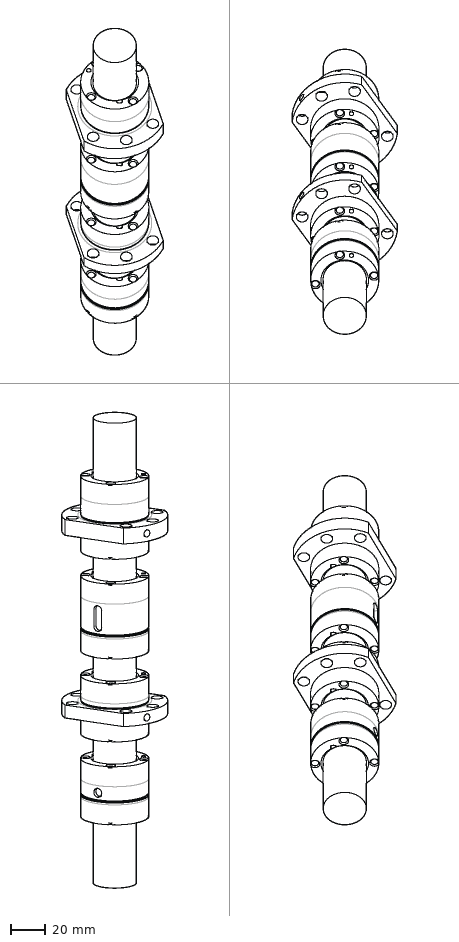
import cadquery as cq
import math

SHAFT_LENGTH = 280.0
SHAFT_RADIUS = 12.5

NUT_RADIUS = 20.0
LONG_NUT_LENGTH = 45.0
SHORT_NUT_LENGTH = 35.0
TOP_SHAFT_STUB = 35.0
BOTTOM_SHAFT_STUB = 40.0
NUT_LENGTHS = [LONG_NUT_LENGTH, LONG_NUT_LENGTH, SHORT_NUT_LENGTH, SHORT_NUT_LENGTH]
FREE_SHAFT_LENGTH = SHAFT_LENGTH - TOP_SHAFT_STUB - BOTTOM_SHAFT_STUB - sum(NUT_LENGTHS)
NUT_GAP = FREE_SHAFT_LENGTH / (len(NUT_LENGTHS) - 1)

CAP_LENGTH = 12.0
BORE_CHAMFER = 1.25
SCREW_COUNT = 4
SCREW_CIRCLE_RADIUS = 17.5
FIRST_SCREW_ANGLE = 22.5
SCREW_RECESS_RADIUS = 2.8
SCREW_RECESS_FLOOR_RADIUS = 2.1
SCREW_RECESS_DEPTH = 0.8
OIL_HOLE_RADIUS = 1.25
OIL_HOLE_ANGLE = 225.0
OIL_HOLE_DEPTH = 4.2
NOTCH_RADIUS = 1.7
NOTCH_CIRCLE_RADIUS = 14.0
NOTCH_ANGLE = -4.0
NOTCH_DEPTH = 0.8

FLANGE_RADIUS = 30.95
FLANGE_FLAT_WIDTH = 48.0
LONG_NUT_FLANGE_THICKNESS = 9.5
SHORT_NUT_FLANGE_THICKNESS = 7.8
BOLT_CIRCLE_RADIUS = 25.5
BOLT_HOLE_RADIUS = 3.5
BOLT_ANGLES = [-45.0, 0.0, 45.0, 135.0, 180.0, 225.0]
GREASE_PORT_RADIUS = 2.1
GREASE_PORT_ANGLE = 157.5
GREASE_PORT_DEPTH = 8.5

UNDERCUT_OUTER_RADIUS = 21.5
UNDERCUT_DEPTH = 0.3
UNDERCUT_HEIGHT = 0.5

GROOVE_DEPTH = 0.42
GROOVE_WIDTH = 1.0
GROOVE_TO_CAP = 1.0
KEYWAY_WIDTH = 5.0
KEYWAY_DEPTH = 2.5
KEYWAY_END_MARGIN = 1.7


def cylinder(radius, bottom, height):
    """Upright cylinder on the shaft axis."""
    return cq.Workplane("XY").workplane(offset=bottom).circle(radius).extrude(height)


def polar(radius, angle):
    """Point at the given radius and angle (degrees) about the shaft axis."""
    return (radius * math.cos(math.radians(angle)), radius * math.sin(math.radians(angle)))


def drill(points, radius, top, depth, taper=0):
    """Cylinders, or cones narrowing by the taper angle, that cut holes downward from the height top."""
    face = cq.Workplane("XY").workplane(offset=top).pushPoints(points).circle(radius)
    return face.extrude(-depth, taper=taper)


def ring_cutter(profile):
    """Ring swept about the shaft axis from a list of (radius, height) points."""
    return cq.Workplane("XZ").polyline(profile).close().revolve(360, (0, 0, 0), (0, 1, 0))


def end_cap():
    """Cap from z = 0 up, with all its openings in its upper face."""
    cap = cylinder(NUT_RADIUS, 0, CAP_LENGTH)
    screw_points = [
        polar(SCREW_CIRCLE_RADIUS, FIRST_SCREW_ANGLE + i * 360 / SCREW_COUNT) for i in range(SCREW_COUNT)
    ]
    wall_run = SCREW_RECESS_RADIUS - SCREW_RECESS_FLOOR_RADIUS
    wall_taper = math.degrees(math.atan2(wall_run, SCREW_RECESS_DEPTH))
    cap = cap.cut(drill(screw_points, SCREW_RECESS_RADIUS, CAP_LENGTH, SCREW_RECESS_DEPTH, wall_taper))

    oil_point = polar(SCREW_CIRCLE_RADIUS, OIL_HOLE_ANGLE)
    cap = cap.cut(drill([oil_point], OIL_HOLE_RADIUS, CAP_LENGTH, OIL_HOLE_DEPTH))

    notch_point = polar(NOTCH_CIRCLE_RADIUS, NOTCH_ANGLE)
    cap = cap.cut(drill([notch_point], NOTCH_RADIUS, CAP_LENGTH, NOTCH_DEPTH))

    cap = cap.cut(cylinder(SHAFT_RADIUS, 0, CAP_LENGTH))
    bore_lead_in = ring_cutter([
        (0, CAP_LENGTH),
        (SHAFT_RADIUS + BORE_CHAMFER, CAP_LENGTH),
        (SHAFT_RADIUS, CAP_LENGTH - BORE_CHAMFER),
        (0, CAP_LENGTH - BORE_CHAMFER),
    ])
    return cap.cut(bore_lead_in)


def nut_with_caps(middle, length):
    """Join a nut's middle to its two caps; the joint lines stay on the outer surface."""
    lower_cap = end_cap().mirror("XY").translate((0, 0, CAP_LENGTH))
    upper_cap = end_cap().translate((0, 0, length - CAP_LENGTH))
    return middle.union(lower_cap, clean=False).union(upper_cap, clean=False)


def nut_middle(length):
    """Plain sleeve between the two caps."""
    height = length - 2 * CAP_LENGTH
    return cylinder(NUT_RADIUS, CAP_LENGTH, height).cut(cylinder(SHAFT_RADIUS, CAP_LENGTH, height))


def flange(thickness):
    """Flange with two flats, bolt holes and a radial grease port; its lower face meets the lower cap."""
    disc = cylinder(FLANGE_RADIUS, CAP_LENGTH, thickness)
    flats = cq.Workplane("XY").workplane(offset=CAP_LENGTH)
    flats = flats.rect(2 * FLANGE_RADIUS, FLANGE_FLAT_WIDTH).extrude(thickness)
    plate = disc.intersect(flats)

    bolt_points = [polar(BOLT_CIRCLE_RADIUS, angle) for angle in BOLT_ANGLES]
    plate = plate.cut(drill(bolt_points, BOLT_HOLE_RADIUS, CAP_LENGTH + thickness, thickness))

    port = cq.Workplane("YZ").workplane(offset=FLANGE_RADIUS - GREASE_PORT_DEPTH)
    port = port.center(0, CAP_LENGTH + thickness / 2).circle(GREASE_PORT_RADIUS)
    port = port.extrude(2 * GREASE_PORT_DEPTH)
    plate = plate.cut(port.rotate((0, 0, 0), (0, 0, 1), GREASE_PORT_ANGLE))
    return plate.cut(cylinder(SHAFT_RADIUS, CAP_LENGTH, thickness))


def flanged_nut(length, thickness):
    """Nut with a flange, its bottom at z = 0."""
    flange_top = CAP_LENGTH + thickness
    middle = nut_middle(length).union(flange(thickness))
    undercut = ring_cutter([
        (UNDERCUT_OUTER_RADIUS, flange_top),
        (NUT_RADIUS - UNDERCUT_DEPTH, flange_top - UNDERCUT_DEPTH),
        (NUT_RADIUS - UNDERCUT_DEPTH, flange_top + UNDERCUT_HEIGHT - UNDERCUT_DEPTH),
        (NUT_RADIUS, flange_top + UNDERCUT_HEIGHT),
    ])
    return nut_with_caps(middle.cut(undercut), length)


def plain_nut(length):
    """Nut with a ring groove, sloped on its lower side, and a keyway on its +Y side, its bottom at z = 0."""
    groove_bottom = CAP_LENGTH + GROOVE_TO_CAP
    groove_top = groove_bottom + GROOVE_WIDTH
    groove_floor_radius = NUT_RADIUS - GROOVE_DEPTH
    groove = ring_cutter([
        (NUT_RADIUS, groove_bottom),
        (groove_floor_radius, groove_bottom + GROOVE_DEPTH),
        (groove_floor_radius, groove_top),
        (NUT_RADIUS, groove_top),
    ])

    keyway_bottom = groove_top + KEYWAY_END_MARGIN
    keyway_top = length - CAP_LENGTH - KEYWAY_END_MARGIN
    keyway = cq.Workplane("XZ").workplane(offset=-NUT_RADIUS)
    keyway = keyway.center(0, (keyway_bottom + keyway_top) / 2)
    keyway = keyway.slot2D(keyway_top - keyway_bottom, KEYWAY_WIDTH, 90).extrude(KEYWAY_DEPTH)
    return nut_with_caps(nut_middle(length).cut(groove).cut(keyway), length)


shaft = cylinder(SHAFT_RADIUS, 0, SHAFT_LENGTH)

nuts = [
    flanged_nut(LONG_NUT_LENGTH, LONG_NUT_FLANGE_THICKNESS),
    plain_nut(LONG_NUT_LENGTH),
    flanged_nut(SHORT_NUT_LENGTH, SHORT_NUT_FLANGE_THICKNESS),
    plain_nut(SHORT_NUT_LENGTH),
]

nut_solids = []
nut_top = SHAFT_LENGTH - TOP_SHAFT_STUB
for nut, length in zip(nuts, NUT_LENGTHS):
    placed_nut = nut.translate((0, 0, nut_top - length))
    nut_solids.append(placed_nut.solids().val())
    nut_top -= length + NUT_GAP

result = cq.Compound.makeCompound([shaft.val(), *nut_solids])